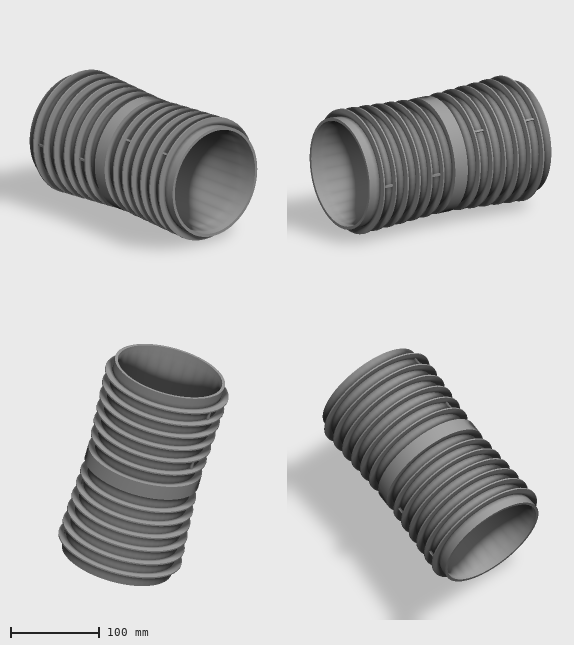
import cadquery as cq

length = 241.7
end_diameter = 128.5
neck_diameter = 117.0
collar_diameter = 133.0
collar_width = 16.7

bore_end_diameter = 121.8
bore_middle_diameter = 110.5

fin_count = 6
first_fin_position = 24.2
outermost_fin_position = 105.9
outer_fin_diameter = 144.0
inner_fin_diameter = 135.0
fin_tip_width = 1.7
fin_root_width = 2.7
fin_spacing = (outermost_fin_position - first_fin_position) / (fin_count - 1)

rib_width = 2.5
rib_embedding = 1.2
rib_bays = {0: 125.0, 4: 131.5}
left_rib_angle = 0.0
right_rib_angle = 37.0

half_length = length / 2
collar_half_width = collar_width / 2


def fin_position(index):
    return first_fin_position + index * fin_spacing


def fin_radius(index):
    step = (outer_fin_diameter - inner_fin_diameter) / (fin_count - 1)
    return (inner_fin_diameter + index * step) / 2


def body_radius(distance):
    """Outer radius of the tapered wall at a distance from the middle plane."""
    share = (distance - collar_half_width) / (half_length - collar_half_width)
    return (neck_diameter + share * (end_diameter - neck_diameter)) / 2


def outer_half_points():
    """Outer outline of the +X half as (axial, radial) points, from collar to end."""
    points = [
        (collar_half_width, collar_diameter / 2),
        (collar_half_width, neck_diameter / 2),
    ]
    for index in range(fin_count):
        centre = fin_position(index)
        root_start = centre - fin_root_width / 2
        root_end = centre + fin_root_width / 2
        points += [
            (root_start, body_radius(root_start)),
            (centre - fin_tip_width / 2, fin_radius(index)),
            (centre + fin_tip_width / 2, fin_radius(index)),
            (root_end, body_radius(root_end)),
        ]
    points.append((half_length, end_diameter / 2))
    return points


def coupling_body():
    """Hollow tapered body with its collar and fins, revolved about X."""
    right_points = outer_half_points()
    left_points = [(-x, radius) for x, radius in reversed(right_points)]
    bore_points = [
        (half_length, bore_end_diameter / 2),
        (0, bore_middle_diameter / 2),
        (-half_length, bore_end_diameter / 2),
    ]
    outline = cq.Workplane("XY").polyline(left_points + right_points + bore_points).close()
    return outline.revolve(360, (0, 0, 0), (1, 0, 0))


def rib_pair(index, diameter, side, angle):
    """Two opposite ribs between a fin and its outer neighbour."""
    centre = side * (fin_position(index) + fin_spacing / 2)
    bar = cq.Workplane("XY").box(fin_spacing, diameter, rib_width)
    core_radius = body_radius(fin_position(index)) - rib_embedding
    core = cq.Workplane("YZ").circle(core_radius).extrude(fin_spacing / 2, both=True)
    return bar.cut(core).rotate((0, 0, 0), (1, 0, 0), -angle).translate((centre, 0, 0))


result = coupling_body()

for side, angle in ((-1, left_rib_angle), (1, right_rib_angle)):
    for index, diameter in rib_bays.items():
        result = result.union(rib_pair(index, diameter, side, angle))